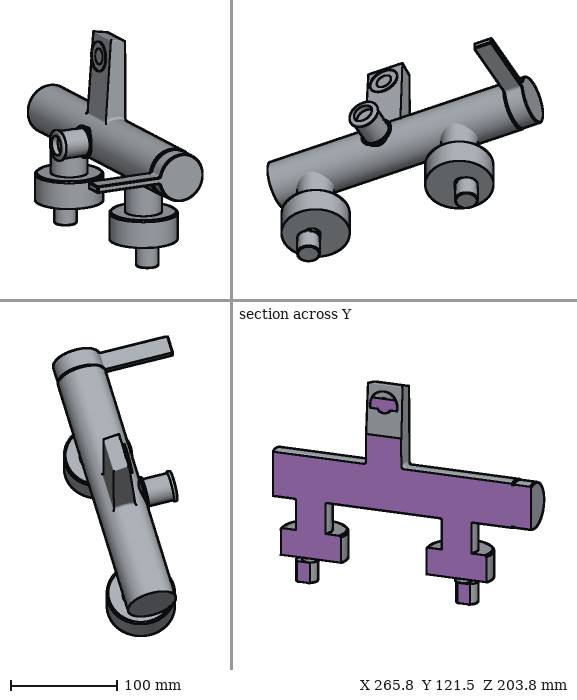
import cadquery as cq
import math


overall_length = 265.8
tube_radius = 23.5
tube_length = 246.0
groove_radius = 22.0
groove_width = 1.3
cap_radius = 22.9
cap_start = tube_length + groove_width
cap_length = overall_length - cap_start
cap_edge_chamfer = 0.8

lever_end_y = -89.3
lever_thickness = 6.5
lever_edge_chamfer = 0.8
lever_root_fillet = 3.2

connection_pitch = 150.0
first_connection_x = 39.0
connection_xs = [first_connection_x, first_connection_x + connection_pitch]
stem_diameter = 34.8
stem_radius = stem_diameter / 2
stem_root_fillet = 1.5
flange_radius = 32.2
flange_top_z = -52.0
flange_bottom_z = -79.0
flange_edge_chamfer = 1.5
neck_radius = 8.0
nut_radius = 10.5
nut_top_z = -82.6
nut_bottom_z = -103.0
nut_edge_chamfer = 0.8
nut_offset = 7.5
neck_offset = nut_offset / 2

middle_x = first_connection_x + connection_pitch / 2

block_back_y = 10.5
block_front_base_y = -10.0
block_front_top_y = -4.5
block_base_z = 24.0
block_back_top_z = 98.0
block_front_top_z = 101.0
block_base_width = 37.2
block_top_width = 35.5
block_edge_fillet = 0.8
block_root_fillet = 2.0

button_z = 81.0
button_radius = 14.0
button_thickness = 0.8
button_post_radius = 7.5
button_post_height = 1.9

spout_diameter = 26.3
spout_radius = spout_diameter / 2
spout_end_y = -53.0
spout_collar_diameter = 30.5
spout_collar_radius = spout_collar_diameter / 2
spout_collar_y = -24.7
spout_collar_length = 2.7
spout_collar_chamfer = 1.9
spout_rim_radius = 14.5
spout_rim_length = 3.5
spout_rim_fillet = 1.3
spout_bore_radius = 9.3
spout_bore_depth = 6.0

pick_margin = 0.8


def rod_x(start, length, radius):
    return cq.Workplane("YZ", origin=(start, 0, 0)).circle(radius).extrude(length)


def rod_z(x, bottom, top, radius):
    return cq.Workplane("XY", origin=(x, 0, bottom)).circle(radius).extrude(top - bottom)


def rod_front(start_y, end_y, radius):
    """Cylinder on the spout axis, running from start_y toward -Y."""
    return cq.Workplane("XZ", origin=(middle_x, start_y, 0)).circle(radius).extrude(start_y - end_y)


def block_front_y(z):
    """Y of the sloping front of the block at height z."""
    rise = (z - block_base_z) / (block_front_top_z - block_base_z)
    return block_front_base_y + rise * (block_front_top_y - block_front_base_y)


def make_block():
    """Upright block: a side profile narrowed by sloping side faces."""
    profile = [
        (block_back_y, 0),
        (block_front_y(0), 0),
        (block_front_top_y, block_front_top_z),
        (block_back_y, block_back_top_z),
    ]
    half_base = block_base_width / 2
    half_top = block_top_width / 2
    side_envelope = [
        (-half_base, 0),
        (half_base, 0),
        (half_top, block_front_top_z),
        (-half_top, block_front_top_z),
    ]
    block = (
        cq.Workplane("YZ", origin=(middle_x - half_base, 0, 0))
        .polyline(profile).close().extrude(block_base_width)
    )
    envelope = (
        cq.Workplane("XZ", origin=(middle_x, 0, 0))
        .polyline(side_envelope).close().extrude(tube_radius, both=True)
    )
    block = block.intersect(envelope)
    return block.faces(">Z").edges().fillet(block_edge_fillet)


def make_button():
    """Thin disc on a short post, square to the sloping front of the block."""
    slope = math.atan2(block_front_top_y - block_front_base_y, block_front_top_z - block_base_z)
    face = cq.Plane(
        origin=(middle_x, block_front_y(button_z), button_z),
        xDir=(1, 0, 0),
        normal=(0, -math.cos(slope), math.sin(slope)),
    )
    post = (
        cq.Workplane(face).workplane(offset=-button_post_height)
        .circle(button_post_radius).extrude(2 * button_post_height)
    )
    disc = (
        cq.Workplane(face).workplane(offset=button_post_height)
        .circle(button_radius).extrude(button_thickness)
    )
    return post.union(disc)


def make_body():
    """Tube, upright block and connection stems, with their root fillets."""
    body = rod_x(0, tube_length, tube_radius).union(make_block())
    block_root = cq.selectors.BoxSelector(
        (middle_x - block_base_width, -tube_radius, tube_radius / 2),
        (middle_x + block_base_width, tube_radius, tube_radius + pick_margin),
    )
    body = body.edges(block_root).fillet(block_root_fillet)
    for x in connection_xs:
        body = body.union(rod_z(x, flange_top_z, 0, stem_radius))
        stem_root = cq.selectors.BoxSelector(
            (x - flange_radius, -tube_radius, -tube_radius - pick_margin),
            (x + flange_radius, tube_radius, -tube_radius / 2),
        )
        body = body.edges(stem_root).fillet(stem_root_fillet)
    return body


def make_connection(x, outward):
    """Wall flange with an off-centre neck and nut; outward is -1 or +1 along X."""
    flange = rod_z(x, flange_bottom_z, flange_top_z, flange_radius)
    flange = flange.faces(">Z").edges().chamfer(flange_edge_chamfer)
    neck = rod_z(x + outward * neck_offset, nut_top_z, flange_bottom_z, neck_radius)
    nut = rod_z(x + outward * nut_offset, nut_bottom_z, nut_top_z, nut_radius)
    nut = nut.faces("<Z").edges().chamfer(nut_edge_chamfer)
    return flange.union(neck).union(nut)


def make_spout():
    """Spout with a chamfered collar at its root, a rounded rim and a blind bore."""
    rim = rod_front(spout_end_y + spout_rim_length, spout_end_y, spout_rim_radius)
    rim = rim.edges().fillet(spout_rim_fillet)
    collar = rod_front(spout_collar_y + spout_collar_length, spout_collar_y, spout_collar_radius)
    collar = collar.faces(">Y").edges().chamfer(spout_collar_chamfer)
    bore = rod_front(spout_end_y + spout_bore_depth, spout_end_y, spout_bore_radius)
    spout = rod_front(0, spout_end_y, spout_radius).union(collar).union(rim)
    return spout.cut(bore)


def make_cap():
    """End cap with a flat lever reaching toward -Y."""
    lever = cq.Workplane("XY").box(
        cap_length, -lever_end_y, lever_thickness, centered=(False, False, True)
    ).translate((cap_start, lever_end_y, 0))
    lever = lever.faces("<Y").edges().chamfer(lever_edge_chamfer)
    cap = rod_x(cap_start, cap_length, cap_radius).union(lever)
    lever_root = cq.selectors.BoxSelector(
        (cap_start, -cap_radius, -lever_thickness),
        (overall_length, -cap_radius + pick_margin, lever_thickness),
    )
    cap = cap.edges("|X").edges(lever_root).fillet(lever_root_fillet)
    cap = cap.faces(">X").edges().chamfer(cap_edge_chamfer)
    return cap


result = make_body()
result = result.union(make_button())
result = result.union(make_spout())
for connection_x, side in zip(connection_xs, (-1, 1)):
    result = result.union(make_connection(connection_x, side))
result = result.union(rod_x(tube_length, groove_width, groove_radius))
result = result.union(make_cap())